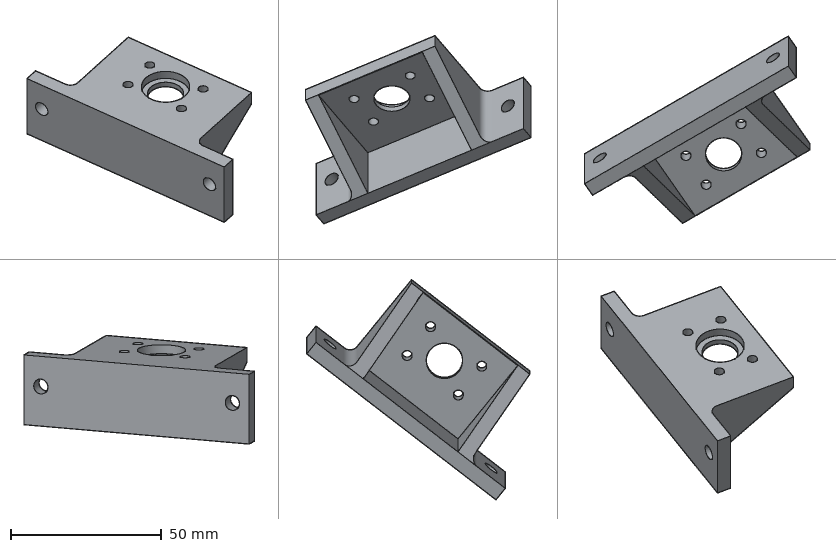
import cadquery as cq
import math

FLANGE_LENGTH = 80.0
FLANGE_THICKNESS = 5.0
HEIGHT = 23.74
MOUNT_HOLE_DIAMETER = 5.0
MOUNT_HOLE_END_DISTANCE = 6.0
MOUNT_HOLE_DROP = 10.24

SHELF_WIDTH = 50.0
SHELF_THICKNESS = 5.0
FREE_EDGE_HEIGHT = 4.9
DEPTH = 37.0
GUSSET_THICKNESS = 5.0
CORNER_FILLET = 3.0

BORE_CENTER_Y = 23.0
BORE_DIAMETER = 12.0
COUNTERBORE_DIAMETER = 16.0
COUNTERBORE_DEPTH = 3.0
SCREW_CIRCLE_DIAMETER = 25.0
SCREW_HOLE_DIAMETER = 3.3
SCREW_ANGLES = (30, 150, 210, 330)

SHELF_UNDERSIDE = HEIGHT - SHELF_THICKNESS


def make_footprint():
    """Full-height T-shaped block with rounded inner corners."""
    flange = cq.Workplane("XY").box(
        FLANGE_LENGTH, FLANGE_THICKNESS, HEIGHT, centered=(True, False, False)
    )
    block = cq.Workplane("XY").box(SHELF_WIDTH, DEPTH, HEIGHT, centered=(True, False, False))
    corners = cq.selectors.BoxSelector(
        (-SHELF_WIDTH / 2 - CORNER_FILLET, 0, 0),
        (SHELF_WIDTH / 2 + CORNER_FILLET, FLANGE_THICKNESS + CORNER_FILLET, HEIGHT),
    )
    return flange.union(block).edges("|Z").edges(corners).fillet(CORNER_FILLET)


def make_slope_cutter():
    """Wedge below the line from the flange foot to the shelf's free edge."""
    return (
        cq.Workplane("YZ")
        .moveTo(FLANGE_THICKNESS, 0)
        .lineTo(DEPTH, HEIGHT - FREE_EDGE_HEIGHT)
        .lineTo(DEPTH, 0)
        .close()
        .extrude(FLANGE_LENGTH / 2, both=True)
    )


def make_pocket():
    """Open space between the gussets, below the shelf."""
    return cq.Workplane("XY").center(0, FLANGE_THICKNESS).box(
        SHELF_WIDTH - 2 * GUSSET_THICKNESS,
        DEPTH - FLANGE_THICKNESS,
        SHELF_UNDERSIDE,
        centered=(True, False, False),
    )


def vertical_cylinder(x, y, diameter, depth):
    """Cylinder reaching down from the top face."""
    return cq.Workplane("XY").center(x, y).circle(diameter / 2).extrude(depth).translate(
        (0, 0, HEIGHT - depth)
    )


def cut_shelf_holes(body):
    """Stepped bore and screw holes through the shelf."""
    body = body.cut(vertical_cylinder(0, BORE_CENTER_Y, BORE_DIAMETER, HEIGHT))
    body = body.cut(vertical_cylinder(0, BORE_CENTER_Y, COUNTERBORE_DIAMETER, COUNTERBORE_DEPTH))
    for angle in SCREW_ANGLES:
        x = SCREW_CIRCLE_DIAMETER / 2 * math.cos(math.radians(angle))
        y = BORE_CENTER_Y + SCREW_CIRCLE_DIAMETER / 2 * math.sin(math.radians(angle))
        body = body.cut(vertical_cylinder(x, y, SCREW_HOLE_DIAMETER, HEIGHT))
    return body


def cut_mount_holes(body):
    """Hole through the flange near each end."""
    hole_x = FLANGE_LENGTH / 2 - MOUNT_HOLE_END_DISTANCE
    holes = (
        cq.Workplane("XZ")
        .pushPoints([(-hole_x, HEIGHT - MOUNT_HOLE_DROP), (hole_x, HEIGHT - MOUNT_HOLE_DROP)])
        .circle(MOUNT_HOLE_DIAMETER / 2)
        .extrude(-FLANGE_THICKNESS)
    )
    return body.cut(holes)


body = make_footprint().cut(make_slope_cutter()).cut(make_pocket())
result = cut_mount_holes(cut_shelf_holes(body))